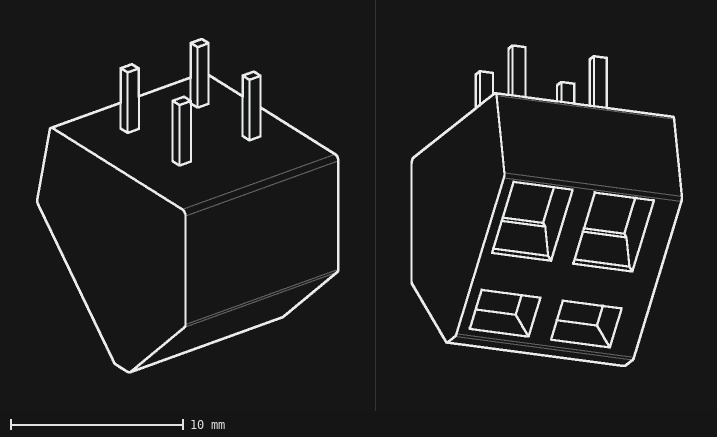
import cadquery as cq
import math

body_width_x = 14.26
body_width_y = 11.15
body_height = 13.0
top_left_x = 1.25
left_corner_x = -0.03
left_corner_z = 7.48
right_corner_z = 5.4
edge_radius = 0.3

pin_size_x = 0.66
pin_size_y = 0.82
pin_height = 17 - body_height
pin_pitch_x = 5.0
first_pin_x = 4.27
first_pin_inset = 2.53

opening_pitch = 5.1
opening_count = 2
pocket_depth = 2.79
upper_inset = 0.66
upper_width = 3.7
upper_bottom_z = 3.93
upper_top_z = 7.25
lower_inset = 0.71
lower_width = 3.69
lower_bottom_z = 0.39
lower_top_z = 2.21

step_start_rise = 0.45
step_height = 1.94
step_run = step_height * (top_left_x - left_corner_x) / (body_height - left_corner_z)


def face_x(z):
    """X of the 45 degree lower left face at height z."""
    return left_corner_x + left_corner_z - z


def make_body():
    outline = [
        (top_left_x, body_height),
        (body_width_x, body_height),
        (body_width_x, right_corner_z),
        (body_width_x - right_corner_z, 0),
        (face_x(0), 0),
        (left_corner_x, left_corner_z),
    ]
    block = cq.Workplane("XZ").polyline(outline).close().extrude(-body_width_y)
    return block.edges("|Y").fillet(edge_radius)


def make_pockets(outline, inset, width):
    """One pocket per pole, from an XZ outline."""
    pockets = cq.Workplane("XZ")
    for index in range(opening_count):
        start_y = body_width_y - inset - index * opening_pitch - width
        pocket = cq.Workplane("XZ", origin=(0, start_y, 0)).polyline(outline).close().extrude(-width)
        pockets = pockets.add(pocket)
    return pockets.combine()


def upper_outline():
    bottom_x = face_x(upper_bottom_z)
    top_x = face_x(upper_top_z)
    inward = pocket_depth / math.sqrt(2)
    step_x = bottom_x + step_start_rise
    step_z = upper_bottom_z + step_start_rise
    step_end_x = step_x + step_run
    step_end_z = step_z + step_height
    reached = (step_end_x - bottom_x) + (step_end_z - upper_bottom_z)
    remaining = (2 * inward - reached) / 2
    return [
        (bottom_x, upper_bottom_z),
        (step_x, step_z),
        (step_end_x, step_end_z),
        (step_end_x + remaining, step_end_z + remaining),
        (top_x + inward, upper_top_z + inward),
        (top_x, upper_top_z),
    ]


def lower_outline():
    bottom_x = face_x(lower_bottom_z)
    top_x = face_x(lower_top_z)
    inward = pocket_depth / math.sqrt(2)
    return [
        (bottom_x, lower_bottom_z),
        (bottom_x + inward, lower_bottom_z + inward),
        (top_x + inward, lower_top_z + inward),
        (top_x, lower_top_z),
    ]


def make_pins():
    first_y = body_width_y - first_pin_inset
    centres = [
        (first_pin_x + column * pin_pitch_x, first_y - row * opening_pitch)
        for column in range(2)
        for row in range(opening_count)
    ]
    plane = cq.Workplane("XY", origin=(0, 0, body_height))
    return plane.pushPoints(centres).rect(pin_size_x, pin_size_y).extrude(pin_height)


result = (
    make_body()
    .cut(make_pockets(upper_outline(), upper_inset, upper_width))
    .cut(make_pockets(lower_outline(), lower_inset, lower_width))
    .union(make_pins())
)